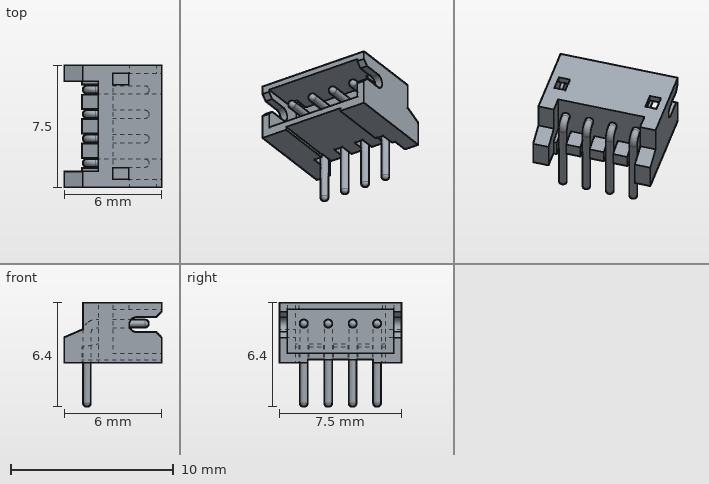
import cadquery as cq
import math

length = 6.0
width = 7.5
height = 3.7

wing_width = 0.99
wing_step_x = 1.155
wing_low_z = 1.575
wing_high_z = 2.07
rear_wall_x = 2.1

cavity_rear_x = 3.0
side_wall = 0.49
roof = 0.4
floor_top_z = 0.6
inner_half_width = width / 2 - side_wall

slot_end_x = 4.0
slot_mid_z = 2.355
slot_radius = 0.45
slot_chamfer = 0.345

window_length = 0.975
window_width = 0.705

pin_count = 4
pin_pitch = 1.5
pin_radius = 0.251
pin_x = 1.4
pin_z = 2.415
pin_bottom_z = -2.7
pin_tip_x = 5.21
bend_radius = 0.5

block_front_x = 1.095
block_front_z = 0.99
block_rear_z = 1.185
pin_gap = 0.6

relief_height = 0.2
relief_width = 4.0

pin_positions = [(i - (pin_count - 1) / 2) * pin_pitch for i in range(pin_count)]


def box(x_range, y_range, z_range):
    """Box between the given pairs of limits."""
    sizes = [high - low for low, high in (x_range, y_range, z_range)]
    corner = (x_range[0], y_range[0], z_range[0])
    return cq.Workplane("XY").box(*sizes, centered=False).translate(corner)


def extrude_across(profile, span):
    """Extrude an XZ profile symmetrically about the middle of the housing."""
    return profile.extrude(span / 2, both=True)


def make_shell():
    """Stepped housing with a rear recess between the wings and an open front cavity."""
    outline = cq.Workplane("XZ").polyline([
        (0, 0),
        (length, 0),
        (length, height),
        (wing_step_x, height),
        (wing_step_x, wing_high_z),
        (0, wing_low_z),
    ]).close()
    shell = extrude_across(outline, width)
    wing_inner_y = width / 2 - wing_width
    recess = box((0, rear_wall_x), (-wing_inner_y, wing_inner_y), (0, height))
    cavity = box(
        (cavity_rear_x, length),
        (-inner_half_width, inner_half_width),
        (floor_top_z, height - roof),
    )
    return shell.cut(recess).cut(cavity)


def make_guide_blocks():
    """Sloped ledge behind the wings, divided by a gap around each pin."""
    profile = cq.Workplane("XZ").polyline([
        (block_front_x, 0),
        (rear_wall_x, 0),
        (rear_wall_x, block_rear_z),
        (block_front_x, block_front_z),
    ]).close()
    blocks = extrude_across(profile, width - 2 * wing_width)
    for y in pin_positions:
        gap = box(
            (block_front_x, rear_wall_x),
            (y - pin_gap / 2, y + pin_gap / 2),
            (0, block_rear_z),
        )
        blocks = blocks.cut(gap)
    return blocks


def make_side_slots():
    """Cutter for both side slots, with a round end and a chamfered mouth."""
    low_z = slot_mid_z - slot_radius
    high_z = slot_mid_z + slot_radius
    arc_x = slot_end_x + slot_radius
    mouth_x = length - slot_chamfer
    profile = (
        cq.Workplane("XZ")
        .moveTo(arc_x, low_z)
        .lineTo(mouth_x, low_z)
        .lineTo(length, low_z - slot_chamfer)
        .lineTo(length, high_z + slot_chamfer)
        .lineTo(mouth_x, high_z)
        .lineTo(arc_x, high_z)
        .threePointArc((slot_end_x, slot_mid_z), (arc_x, low_z))
        .close()
    )
    return extrude_across(profile, width)


def make_window(side):
    """Cutter for the roof window on one side (-1 or 1)."""
    edges = [side * inner_half_width, side * (inner_half_width - window_width)]
    return box(
        (cavity_rear_x, cavity_rear_x + window_length),
        sorted(edges),
        (height - roof, height),
    )


def make_pin(y):
    """Right-angle pin with a hemispherical tip at each end."""
    lower_end_z = pin_bottom_z + pin_radius
    front_end_x = pin_tip_x - pin_radius
    bend_z = pin_z - bend_radius
    bend_x = pin_x + bend_radius
    bend_offset = bend_radius * (1 - math.sqrt(0.5))
    path = (
        cq.Workplane("XZ")
        .moveTo(pin_x, lower_end_z)
        .lineTo(pin_x, bend_z)
        .threePointArc((pin_x + bend_offset, pin_z - bend_offset), (bend_x, pin_z))
        .lineTo(front_end_x, pin_z)
    )
    start = cq.Workplane("XY", origin=(pin_x, 0, lower_end_z))
    pin = start.circle(pin_radius).sweep(path)
    for x, z in [(pin_x, lower_end_z), (front_end_x, pin_z)]:
        pin = pin.union(cq.Workplane("XY").sphere(pin_radius).translate((x, 0, z)))
    return pin.translate((0, y, 0))


housing = make_shell().union(make_guide_blocks()).cut(make_side_slots())
housing = housing.cut(box((0, length), (-relief_width / 2, relief_width / 2), (0, relief_height)))
for side in (-1, 1):
    housing = housing.cut(make_window(side))

result = housing
for y in pin_positions:
    result = result.union(make_pin(y))